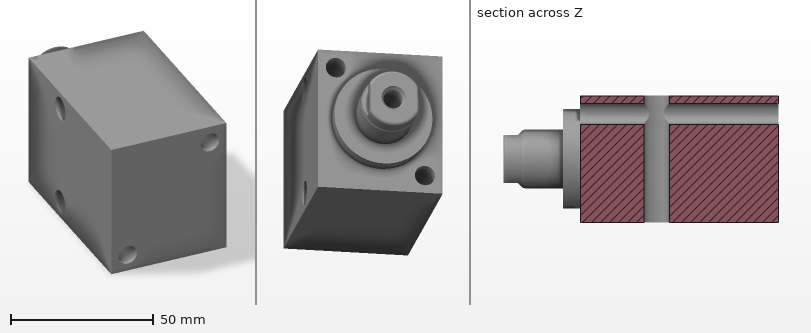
import cadquery as cq
BODY_LENGTH = 69.6
BODY_WIDTH = 44.45
BODY_HEIGHT = 50.8

COLLAR_DIAMETER = 34.925
COLLAR_LENGTH = 6.1

ROD_DIAMETER = 20.64
ROD_PROJECTION = 26.92
NOSE_DIAMETER = 20.0
NOSE_LENGTH = 6.5
NOSE_TAPER_LENGTH = 0.85
TIP_FILLET = 1.0

FLATS_WIDTH = 16.75
FLATS_LENGTH = 5.0

BORE_DIAMETER = 6.75
BORE_MOUTH_DIAMETER = 8.7
BORE_DEPTH = 19.05

MOUTH_CONE_END_DIAMETER = 8.1
MOUTH_CONE_DEPTH = 0.65
LEAD_IN_DEPTH = 1.6

HOLE_OFFSET_Y = 15.875
HOLE_OFFSET_Z = 19.05
END_HOLE_DIAMETER = 7.14
SIDE_HOLE_DIAMETER = 8.73
SIDE_HOLE_X = 26.75

TIP_X = -ROD_PROJECTION


def x_cylinder(diameter, x_start, length):
    """Cylinder on the X axis running toward +X from x_start."""
    return cq.Workplane("YZ", origin=(x_start, 0, 0)).circle(diameter / 2).extrude(length)


def make_body():
    return cq.Workplane("XY").box(BODY_LENGTH, BODY_WIDTH, BODY_HEIGHT, centered=(False, True, True))


def make_rod():
    """Revolve the half profile of the rod about X, then round its tip edge."""
    nose_end = TIP_X + NOSE_LENGTH
    rod = (
        cq.Workplane("XY")
        .moveTo(TIP_X, 0)
        .lineTo(TIP_X, NOSE_DIAMETER / 2)
        .lineTo(nose_end, NOSE_DIAMETER / 2)
        .lineTo(nose_end + NOSE_TAPER_LENGTH, ROD_DIAMETER / 2)
        .lineTo(0, ROD_DIAMETER / 2)
        .lineTo(0, 0)
        .close()
        .revolve(360, (0, 0, 0), (1, 0, 0))
    )
    return rod.faces("<X").edges().fillet(TIP_FILLET)


def make_flat_cutter(side):
    """Material removed for the flat on the +Y (side = 1) or -Y (side = -1) side of the nose."""
    flat_y = FLATS_WIDTH / 2
    outer_y = ROD_DIAMETER / 2
    flat_end = TIP_X + FLATS_LENGTH
    runout_end = TIP_X + NOSE_LENGTH
    slope = (runout_end - flat_end) / (NOSE_DIAMETER / 2 - flat_y)
    outer_end = flat_end + slope * (outer_y - flat_y)
    return (
        cq.Workplane("XY")
        .moveTo(TIP_X, side * flat_y)
        .lineTo(flat_end, side * flat_y)
        .lineTo(outer_end, side * outer_y)
        .lineTo(TIP_X, side * outer_y)
        .close()
        .extrude(ROD_DIAMETER / 2, both=True)
    )


def make_bore_cutter():
    """Flat-bottomed bore with a two-cone lead-in at its mouth."""
    bore_radius = BORE_DIAMETER / 2
    bore_bottom = TIP_X + BORE_DEPTH
    return (
        cq.Workplane("XY")
        .moveTo(TIP_X, 0)
        .lineTo(TIP_X, BORE_MOUTH_DIAMETER / 2)
        .lineTo(TIP_X + MOUTH_CONE_DEPTH, MOUTH_CONE_END_DIAMETER / 2)
        .lineTo(TIP_X + LEAD_IN_DEPTH, bore_radius)
        .lineTo(bore_bottom, bore_radius)
        .lineTo(bore_bottom, 0)
        .close()
        .revolve(360, (0, 0, 0), (1, 0, 0))
    )


def make_end_hole(side):
    """Lengthwise through hole; the two holes sit at opposite corners (+Y +Z and -Y -Z)."""
    centre = (0, side * HOLE_OFFSET_Y, side * HOLE_OFFSET_Z)
    return x_cylinder(END_HOLE_DIAMETER, 0, BODY_LENGTH).translate(centre)


def make_side_hole(side):
    """Through hole along Y, above (side = 1) or below (side = -1) the centre line."""
    return (
        cq.Workplane("XZ", origin=(SIDE_HOLE_X, 0, side * HOLE_OFFSET_Z))
        .circle(SIDE_HOLE_DIAMETER / 2)
        .extrude(BODY_WIDTH / 2, both=True)
    )


collar = x_cylinder(COLLAR_DIAMETER, -COLLAR_LENGTH, COLLAR_LENGTH)
part = make_body().union(collar).union(make_rod()).cut(make_bore_cutter())
for side in (1, -1):
    part = part.cut(make_flat_cutter(side))
    part = part.cut(make_end_hole(side))
    part = part.cut(make_side_hole(side))

result = part